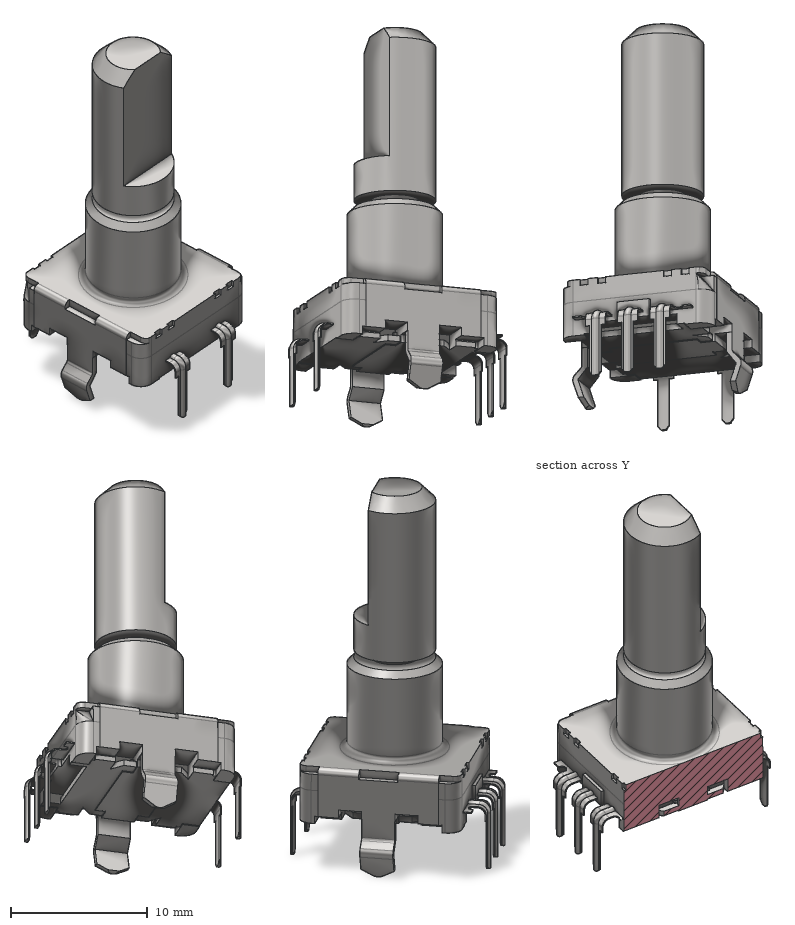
import cadquery as cq
import math


BODY_X = 12.1
BODY_Y = 11.66
BODY_BOTTOM = -4.28
CORNER_R = 1.05
APEX_R = 0.01
SHOULDER_Z = -0.45
DRAFT_START = -1.7
DRAFT_ANGLE = 1.0
HALF_X = BODY_X / 2
HALF_Y = BODY_Y / 2
OVERLAP = 0.3

PLATE_THICK = -SHOULDER_Z
PLATE_SETBACK = 0.5
PLATE_CORNER_R = 0.57
COVER_X = 9.0
COVER_Y = 11.7
COVER_HALF_Y = COVER_Y / 2
FOLD_R = PLATE_THICK
COVER_BOTTOM = -3.7
FOLD_RELIEF_X = 2.92
FOLD_RELIEF_Z = 0.6
EDGE_NOTCH_Y = (2.56, 3.94)
EDGE_NOTCH_WIDTH = 0.62
EDGE_NOTCH_DEPTH = 0.2

RECESS_X = 9.5
RECESS_DEPTH = 1.3
BASE_X = 9.0
BASE_SETBACK = 1.1
BASE_TOP = -3.75
BASE_BOTTOM = -4.2
BASE_CHAMFER = 0.12
WINDOW_INNER = 1.25
WINDOW_OUTER = 2.97
WINDOW_TOP = -3.08
WINDOW_DEPTH = 2.4
CORE_SETBACK = 1.5
CORE_FRONT_X = 2.2
LUG_X = 0.25
LUG_TOP = -3.35
LUG_BOTTOM = -3.6
LUG_SETBACK = 2.1
PAD_X = 4.1
UNDERSIDE_CHANNEL_Y = 7.8

BUSHING_D = 7.0
BUSHING_TOP = 7.0
BUSHING_CHAMFER = 0.5
BUSHING_FILLET = 0.5
NECK_D = 3.5
SHAFT_D = 6.0
SHAFT_BOTTOM = 7.62
SHAFT_TOP = 20.18
OVERALL_HEIGHT = 28.2
SHAFT_CHAMFER = 1.0
FLAT_X = 1.42
FLAT_BOTTOM = 10.26

CLIP_X = 2.47
CLIP_THICK = 0.45
CLIP_OUT_Y = 6.545
CLIP_KINK_Z = -5.08
CLIP_ELBOW_Z = -6.03
CLIP_BOTTOM = SHAFT_TOP - OVERALL_HEIGHT
CLIP_SHOULDER = -7.45
CLIP_TIP_X = 0.3
CLIP_TIP_RISE = 0.05

KINK_MID = (-COVER_HALF_Y - 0.04, CLIP_KINK_Z - 0.11)
KINK_END = (-COVER_HALF_Y - 0.12, CLIP_KINK_Z - 0.2)
KINK_INNER_SHIFT = -0.13
ELBOW_START = (-CLIP_OUT_Y + 0.13, CLIP_ELBOW_Z + 0.3)
ELBOW_TIP = (-CLIP_OUT_Y, CLIP_ELBOW_Z)
ELBOW_END = (-CLIP_OUT_Y + 0.06, CLIP_ELBOW_Z - 0.35)
ELBOW_INNER = (-CLIP_OUT_Y + 0.4, CLIP_ELBOW_Z - 0.05)
CLIP_END_OUTER = (-5.93, CLIP_BOTTOM)
CLIP_END_INNER = (-5.55, CLIP_BOTTOM + 0.13)

PITCH = 2.5
LEFT_REACH = 7.7
RIGHT_REACH = 7.25
SHEET_THICK = 0.1
RIB_HEIGHT = 0.17
RIB_WIDTH = 0.58
SHEET_TOP = -2.99
BEND_R = 0.63
BLADE_WIDTH = 1.55
BLADE_BOTTOM = -4.1
PIN_WIDTH = 0.9
PIN_BOTTOM = -7.95
PIN_TIP_WIDTH = 0.4
PIN_TIP_LENGTH = 0.3

BOSS_WIDTH = 2.5
BOSS_TOP = -2.12
BOSS_BOTTOM = -3.42
BOSS_HEIGHT = 0.25
FLANGE_REACH = 6.67
FLANGE_INNER_Y = 3.2
FLANGE_OUTER_Y = 4.57
FLANGE_BITE_X = 6.6
FLANGE_BITE_Y = 3.6
FLANGE_BITE_R = 0.33
OPENING_WIDTH = 6.6
OPENING_TOP = -3.42
OPENING_DEPTH = 1.5
SILL_TOP = -3.75
SILL_DEPTH = 1.3


def block(x0, x1, y0, y1, z0, z1):
    """Axis-aligned box between two opposite corners."""
    size = (x1 - x0, y1 - y0, z1 - z0)
    return cq.Workplane("XY").box(*size, centered=False).translate((x0, y0, z0))


def both_y(solid):
    """Solid together with its mirror image across the XZ plane."""
    return solid.union(solid.mirror("XZ"))


def make_housing():
    lower = (
        cq.Workplane("XY", origin=(0, 0, BODY_BOTTOM))
        .rect(BODY_X, BODY_Y)
        .extrude(DRAFT_START - BODY_BOTTOM)
        .edges("|Z")
        .fillet(CORNER_R)
    )
    housing = lower.faces(">Z").wires().toPending().workplane().extrude(
        -DRAFT_START, taper=DRAFT_ANGLE
    )
    return cut_sloped_corner(housing.cut(make_top_trim()))


def cut_sloped_corner(housing):
    """Upper part of the -X -Y corner: a sloped facet blending into the corner by an oblique cone."""
    center_x = -HALF_X + CORNER_R
    center_y = -HALF_Y + CORNER_R
    height = SHOULDER_Z - DRAFT_START
    slope = (
        cq.Workplane("YZ", origin=(-HALF_X, 0, 0))
        .polyline([(-HALF_Y, DRAFT_START), (center_y, SHOULDER_Z), (-HALF_Y, SHOULDER_Z)])
        .close()
        .extrude(CORNER_R)
    )
    facet_side = (
        cq.Workplane("XZ", origin=(0, center_y, 0))
        .polyline([(center_x, DRAFT_START), (-HALF_X, SHOULDER_Z), (center_x, SHOULDER_Z)])
        .close()
        .extrude(CORNER_R)
    )
    cone = (
        cq.Workplane("XY", origin=(0, 0, DRAFT_START))
        .center(center_x, center_y)
        .circle(CORNER_R)
        .workplane(offset=height)
        .center(APEX_R - CORNER_R, 0)
        .circle(APEX_R)
        .loft()
    )
    corner = block(-HALF_X, center_x, -HALF_Y, center_y, DRAFT_START, SHOULDER_Z)
    return housing.cut(slope).cut(corner.cut(facet_side).cut(cone))


def make_top_trim():
    """Material removed around the cover plate, and at the notches in its two side edges."""
    plate = (
        cq.Workplane("XY", origin=(0, 0, SHOULDER_Z))
        .rect(BODY_X, COVER_Y - 2 * PLATE_SETBACK)
        .extrude(PLATE_THICK)
        .edges("|Z")
        .fillet(PLATE_CORNER_R)
    )
    trim = block(-HALF_X, HALF_X, -HALF_Y, HALF_Y, SHOULDER_Z, 0).cut(plate)
    notch_x = HALF_X - EDGE_NOTCH_DEPTH
    for side in (-1, 1):
        x0, x1 = sorted((side * notch_x, side * HALF_X))
        for center in EDGE_NOTCH_Y:
            y0 = center - EDGE_NOTCH_WIDTH / 2
            y1 = center + EDGE_NOTCH_WIDTH / 2
            trim = trim.union(both_y(block(x0, x1, y0, y1, SHOULDER_Z, 0)))
    return trim


def make_cover_walls():
    return (
        block(-COVER_X / 2, COVER_X / 2, -COVER_HALF_Y, COVER_HALF_Y, COVER_BOTTOM, 0)
        .edges("|X and >Z")
        .fillet(FOLD_R)
    )


def cut_fold_reliefs(body):
    half = FOLD_RELIEF_X / 2
    relief = block(-half, half, -COVER_HALF_Y, -COVER_HALF_Y + PLATE_SETBACK, -FOLD_RELIEF_Z, 0)
    return body.cut(both_y(relief))


def shape_underside(body):
    """Front and back recesses, stepped underside, and the base with its windows."""
    recess_y = -HALF_Y + RECESS_DEPTH
    half = RECESS_X / 2
    body = body.cut(both_y(block(-half, half, -HALF_Y, recess_y, BODY_BOTTOM, COVER_BOTTOM)))
    for x0, x1 in ((-half, -PAD_X / 2), (PAD_X / 2, half)):
        body = body.cut(block(x0, x1, -HALF_Y, HALF_Y, BODY_BOTTOM, BASE_BOTTOM))
    half_channel = UNDERSIDE_CHANNEL_Y / 2
    for x0, x1 in ((-HALF_X, -half), (half, HALF_X)):
        body = body.cut(block(x0, x1, -half_channel, half_channel, BODY_BOTTOM, BASE_BOTTOM))

    window_back = -HALF_Y + WINDOW_DEPTH
    lug_front = -HALF_Y + LUG_SETBACK
    for side in (-1, 1):
        x0, x1 = sorted((side * WINDOW_INNER, side * WINDOW_OUTER))
        window = block(x0, x1, -COVER_HALF_Y, window_back, BODY_BOTTOM, WINDOW_TOP)
        body = body.cut(both_y(window))
        x0, x1 = sorted((side * WINDOW_INNER, side * (WINDOW_INNER + LUG_X)))
        lug = block(x0, x1, lug_front, window_back + OVERLAP, LUG_BOTTOM, LUG_TOP)
        x0, x1 = sorted((side * WINDOW_OUTER, side * BASE_X / 2))
        rail = (
            block(x0, x1, -HALF_Y + BASE_SETBACK, recess_y + OVERLAP, BASE_BOTTOM, COVER_BOTTOM)
            .edges("|X and >Z and <Y")
            .chamfer(BASE_CHAMFER)
        )
        body = body.union(both_y(lug)).union(both_y(rail))
    return body.union(both_y(make_base_core(window_back)))


def make_base_core(back):
    """Middle of the base with bevelled ends, reaching forward into the windows."""
    return (
        cq.Workplane("XY", origin=(0, 0, BASE_BOTTOM))
        .polyline([
            (-WINDOW_OUTER, back + OVERLAP),
            (-WINDOW_OUTER, back),
            (-CORE_FRONT_X, -HALF_Y + CORE_SETBACK),
            (CORE_FRONT_X, -HALF_Y + CORE_SETBACK),
            (WINDOW_OUTER, back),
            (WINDOW_OUTER, back + OVERLAP),
        ])
        .close()
        .extrude(BASE_TOP - BASE_BOTTOM)
    )


def make_bushing_and_shaft():
    r = BUSHING_D / 2
    base_r = r + BUSHING_FILLET
    arc_offset = BUSHING_FILLET * (1 - math.sqrt(0.5))
    bushing = (
        cq.Workplane("XZ")
        .moveTo(0, -OVERLAP)
        .lineTo(base_r, -OVERLAP)
        .lineTo(base_r, 0)
        .threePointArc((r + arc_offset, arc_offset), (r, BUSHING_FILLET))
        .lineTo(r, BUSHING_TOP - BUSHING_CHAMFER)
        .lineTo(r - BUSHING_CHAMFER, BUSHING_TOP)
        .lineTo(0, BUSHING_TOP)
        .close()
        .revolve(360, (0, 0, 0), (0, 1, 0))
    )
    neck = (
        cq.Workplane("XY", origin=(0, 0, BUSHING_TOP - OVERLAP))
        .circle(NECK_D / 2)
        .extrude(SHAFT_BOTTOM - BUSHING_TOP + 2 * OVERLAP)
    )
    shaft = (
        cq.Workplane("XY", origin=(0, 0, SHAFT_BOTTOM))
        .circle(SHAFT_D / 2)
        .extrude(SHAFT_TOP - SHAFT_BOTTOM)
        .faces(">Z")
        .chamfer(SHAFT_CHAMFER)
    )
    shaft_r = SHAFT_D / 2
    shaft = shaft.cut(block(FLAT_X, shaft_r, -shaft_r, shaft_r, FLAT_BOTTOM, SHAFT_TOP))
    return bushing.union(neck).union(shaft)


def make_clip():
    """Spring clip below the -Y wall: kinked outwards, then back in to a blunt point."""
    outer = -COVER_HALF_Y
    inner = outer + CLIP_THICK
    root = COVER_BOTTOM + OVERLAP
    bend = (
        cq.Workplane("YZ", origin=(-CLIP_X / 2, 0, 0))
        .moveTo(outer, root)
        .lineTo(outer, CLIP_KINK_Z)
        .threePointArc(KINK_MID, KINK_END)
        .lineTo(*ELBOW_START)
        .threePointArc(ELBOW_TIP, ELBOW_END)
        .lineTo(*CLIP_END_OUTER)
        .lineTo(*CLIP_END_INNER)
        .lineTo(*ELBOW_INNER)
        .lineTo(inner, CLIP_KINK_Z + KINK_INNER_SHIFT)
        .lineTo(inner, root)
        .close()
        .extrude(CLIP_X)
    )
    half = CLIP_X / 2
    outline = (
        cq.Workplane("XZ")
        .moveTo(-half, 0)
        .lineTo(-half, CLIP_SHOULDER)
        .lineTo(-CLIP_TIP_X, CLIP_BOTTOM + CLIP_TIP_RISE)
        .threePointArc((0, CLIP_BOTTOM), (CLIP_TIP_X, CLIP_BOTTOM + CLIP_TIP_RISE))
        .lineTo(half, CLIP_SHOULDER)
        .lineTo(half, 0)
        .close()
        .extrude(BODY_Y)
    )
    return bend.intersect(outline)


def arc_middle(center_x, center_z, radius):
    """Middle of the outward, upward quarter arc around a centre."""
    offset = radius * math.sqrt(0.5)
    return (center_x + offset, center_z + offset)


def make_terminal(reach):
    """Terminal leaving the +X wall at Y = 0: bent strip with a rounded rib along its outside."""
    sheet_x = reach - RIB_HEIGHT
    center_x = sheet_x - BEND_R
    center_z = SHEET_TOP - BEND_R
    root_x = HALF_X - OVERLAP
    bend_middle = arc_middle(center_x, center_z, BEND_R)
    inner_middle = arc_middle(center_x, center_z, BEND_R - SHEET_THICK)
    strip = (
        cq.Workplane("XZ", origin=(0, BLADE_WIDTH / 2, 0))
        .moveTo(root_x, SHEET_TOP)
        .lineTo(center_x, SHEET_TOP)
        .threePointArc(bend_middle, (sheet_x, center_z))
        .lineTo(sheet_x, PIN_BOTTOM)
        .lineTo(sheet_x - SHEET_THICK, PIN_BOTTOM)
        .lineTo(sheet_x - SHEET_THICK, center_z)
        .threePointArc(inner_middle, (center_x, SHEET_TOP - SHEET_THICK))
        .lineTo(root_x, SHEET_TOP - SHEET_THICK)
        .close()
        .extrude(BLADE_WIDTH)
    )
    path = (
        cq.Workplane("XZ")
        .moveTo(root_x, SHEET_TOP)
        .lineTo(center_x, SHEET_TOP)
        .threePointArc(bend_middle, (sheet_x, center_z))
        .lineTo(sheet_x, PIN_BOTTOM)
    )
    half_rib = RIB_WIDTH / 2
    rib_root = -SHEET_THICK / 2
    rib = (
        cq.Workplane("YZ", origin=(root_x, 0, SHEET_TOP))
        .moveTo(-half_rib, rib_root)
        .lineTo(-half_rib, 0)
        .threePointArc((0, RIB_HEIGHT), (half_rib, 0))
        .lineTo(half_rib, rib_root)
        .close()
        .sweep(path)
    )
    tip_start = PIN_BOTTOM + PIN_TIP_LENGTH
    outline = (
        cq.Workplane("YZ")
        .polyline([
            (BLADE_WIDTH / 2, 0),
            (BLADE_WIDTH / 2, BLADE_BOTTOM),
            (PIN_WIDTH / 2, BLADE_BOTTOM),
            (PIN_WIDTH / 2, tip_start),
            (PIN_TIP_WIDTH / 2, PIN_BOTTOM),
            (-PIN_TIP_WIDTH / 2, PIN_BOTTOM),
            (-PIN_WIDTH / 2, tip_start),
            (-PIN_WIDTH / 2, BLADE_BOTTOM),
            (-BLADE_WIDTH / 2, BLADE_BOTTOM),
            (-BLADE_WIDTH / 2, 0),
        ])
        .close()
        .extrude(reach)
    )
    return strip.union(rib).intersect(outline)


def add_terminals(body):
    left = make_terminal(LEFT_REACH).mirror("YZ")
    right = make_terminal(RIGHT_REACH)
    for y in (-PITCH, 0, PITCH):
        body = body.union(left.translate((0, y, 0)))
    for y in (-PITCH, PITCH):
        body = body.union(right.translate((0, y, 0)))
    return body


def shape_left_wall(body):
    """Boss, terminal flanges and lower opening of the -X wall."""
    half = OPENING_WIDTH / 2
    opening_back = -HALF_X + OPENING_DEPTH
    body = body.cut(block(-HALF_X, opening_back, -half, half, BODY_BOTTOM, OPENING_TOP))
    sill_front = -HALF_X + SILL_DEPTH
    body = body.union(block(sill_front, opening_back + OVERLAP, -half, half, BASE_BOTTOM, SILL_TOP))
    body = body.union(block(
        -HALF_X - BOSS_HEIGHT, -HALF_X + OVERLAP, -BOSS_WIDTH / 2, BOSS_WIDTH / 2, BOSS_BOTTOM, BOSS_TOP
    ))
    flange_bottom = SHEET_TOP - SHEET_THICK
    flange = block(
        -FLANGE_REACH, -HALF_X + OVERLAP, FLANGE_INNER_Y, FLANGE_OUTER_Y, flange_bottom, SHEET_TOP
    )
    bite = (
        cq.Workplane("XY", origin=(-FLANGE_BITE_X, FLANGE_BITE_Y, flange_bottom))
        .circle(FLANGE_BITE_R)
        .extrude(SHEET_THICK)
    )
    return body.union(both_y(flange.cut(bite)))


body = make_housing().union(make_cover_walls())
body = cut_fold_reliefs(body)
body = shape_underside(body)
body = shape_left_wall(body)
body = add_terminals(body)
body = body.union(both_y(make_clip()))
result = body.union(make_bushing_and_shaft())